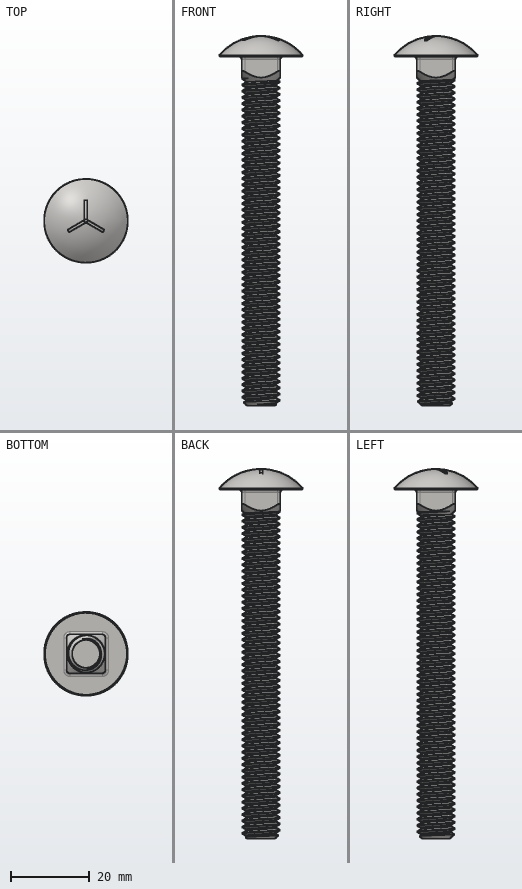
import cadquery as cq
import math

total_length = 94.2

head_diameter = 21.4
head_height = 5.3
rim_bevel = 0.3

neck_width = 9.9
neck_height = 6.4
neck_corner_radius = 0.85
neck_flare_radius = 0.8

thread_diameter = 9.5
thread_gauge_length = 25.4
turns_per_gauge_length = 16
flank_angle = 30.0
tip_chamfer = 1.2
overrun_turns = 3
envelope_clearance = 0.9
first_crest_height = 1.4

mark_count = 3
mark_inner_radius = 0.4
mark_outer_radius = 5.2
mark_width = 0.8
mark_depth = 0.2

head_radius = head_diameter / 2
thread_radius = thread_diameter / 2
seat_height = total_length - head_height
neck_bottom = seat_height - neck_height
rim_height = seat_height + rim_bevel
dome_rise = total_length - rim_height
dome_radius = (head_radius ** 2 + dome_rise ** 2) / (2 * dome_rise)
dome_centre_height = total_length - dome_radius
thread_pitch = thread_gauge_length / turns_per_gauge_length
crest_flat = thread_pitch / 8
root_flat = thread_pitch / 4
thread_depth = (thread_pitch - crest_flat - root_flat) / 2 / math.tan(math.radians(flank_angle))
root_radius = thread_radius - thread_depth


def make_head():
    """Revolve the dome, its bevelled rim and the flat seat."""
    half_angle = math.asin(head_radius / dome_radius) / 2
    arc_middle = (
        dome_radius * math.sin(half_angle),
        dome_centre_height + dome_radius * math.cos(half_angle),
    )
    return (
        cq.Workplane("XZ")
        .moveTo(0, seat_height)
        .lineTo(head_radius - rim_bevel, seat_height)
        .lineTo(head_radius, rim_height)
        .threePointArc(arc_middle, (0, total_length))
        .close()
        .revolve(360, (0, 0, 0), (0, 1, 0))
    )


def make_neck():
    """Square neck with rounded corners, its lower end turned to a 45 degree cone."""
    neck = (
        cq.Workplane("XY", origin=(0, 0, neck_bottom))
        .rect(neck_width, neck_width)
        .extrude(neck_height)
        .edges("|Z")
        .fillet(neck_corner_radius)
    )
    cone_reach = root_radius + neck_height
    envelope = (
        cq.Workplane("XZ")
        .moveTo(0, neck_bottom)
        .lineTo(root_radius, neck_bottom)
        .lineTo(cone_reach, seat_height)
        .lineTo(0, seat_height)
        .close()
        .revolve(360, (0, 0, 0), (0, 1, 0))
    )
    return neck.intersect(envelope)


def helix_turn(radius, height):
    """One turn of the thread helix, starting on the +X side at the given height."""
    turn = cq.Wire.makeHelix(thread_pitch, thread_pitch, radius, center=cq.Vector(0, 0, height))
    return turn.Edges()[0]


def lifted(faces, height):
    """The given faces moved up by a height."""
    return [face.translate(cq.Vector(0, 0, height)) for face in faces]


def make_threaded_rod(rod_start, turns):
    """Solid rod bounded by helical crest, flank and root faces, one set for each turn."""
    half_crest = crest_flat / 2
    half_root = root_flat / 2
    half_pitch = thread_pitch / 2
    profile = [
        (thread_radius, -half_crest),
        (thread_radius, half_crest),
        (root_radius, half_pitch - half_root),
        (root_radius, half_pitch + half_root),
        (thread_radius, thread_pitch - half_crest),
    ]
    turn_faces = [
        cq.Face.makeRuledSurface(helix_turn(*lower), helix_turn(*upper))
        for lower, upper in zip(profile, profile[1:])
    ]
    axis_bottom = (0, -half_crest)
    axis_top = (0, thread_pitch - half_crest)
    axis_edge = cq.Edge.makeLine(cq.Vector(0, 0, axis_bottom[1]), cq.Vector(0, 0, axis_top[1]))
    ramp = cq.Face.makeRuledSurface(axis_edge, helix_turn(*profile[0]))
    step_corners = [cq.Vector(radius, 0, height) for radius, height in [axis_bottom, *profile, axis_top]]
    step = cq.Face.makeFromWires(cq.Wire.makePolygon(step_corners, close=True))

    faces = []
    for turn in range(turns):
        faces += lifted(turn_faces, rod_start + turn * thread_pitch)
    for end in (0, turns):
        faces += lifted([ramp, step], rod_start + end * thread_pitch)
    return cq.Workplane(obj=cq.Solid.makeSolid(cq.Shell.makeShell(faces)))


def make_shank():
    """Threaded shank with a chamfered tip, reaching up into the neck."""
    shank_top = neck_bottom + thread_pitch
    rod_start = first_crest_height - overrun_turns * thread_pitch
    turns = math.ceil((shank_top - rod_start) / thread_pitch) + overrun_turns
    envelope = (
        cq.Workplane("XY")
        .circle(thread_radius + envelope_clearance)
        .extrude(shank_top)
        .faces("<Z")
        .chamfer(tip_chamfer + envelope_clearance)
    )
    return envelope.intersect(make_threaded_rod(rod_start, turns), clean=False)


def make_marks():
    """Radial bars reaching from above the dome down to just below its surface."""
    floor = cq.Workplane("XY", origin=(0, 0, dome_centre_height)).sphere(dome_radius - mark_depth)
    bars = cq.Workplane("XY")
    for index in range(mark_count):
        bar = (
            cq.Workplane("XY", origin=(0, 0, rim_height))
            .center((mark_inner_radius + mark_outer_radius) / 2, 0)
            .rect(mark_outer_radius - mark_inner_radius, mark_width)
            .extrude(2 * dome_rise)
            .rotate((0, 0, 0), (0, 0, 1), 90 + index * 360 / mark_count)
        )
        bars = bars.union(bar)
    return bars.cut(floor)


seat_edges = cq.selectors.BoxSelector(
    (-neck_width, -neck_width, seat_height - rim_bevel / 2),
    (neck_width, neck_width, seat_height + rim_bevel / 2),
    boundingbox=True,
)
head_and_neck = make_head().union(make_neck()).edges(seat_edges).fillet(neck_flare_radius)

bolt = head_and_neck.cut(make_marks()).union(make_shank())
result = bolt.solids()